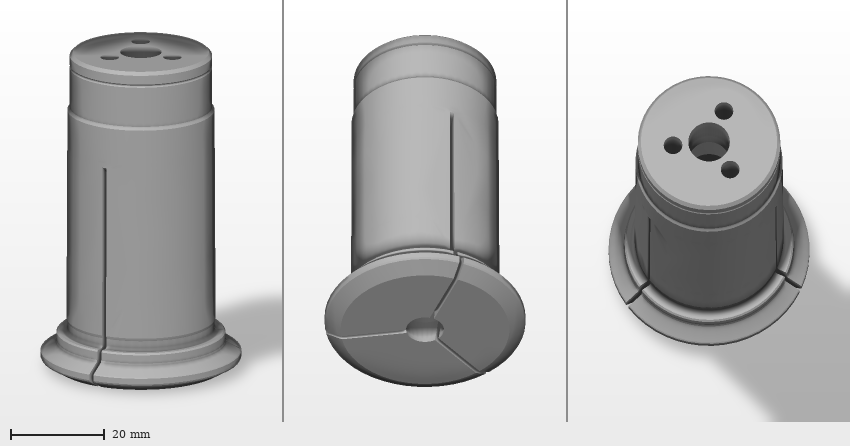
import cadquery as cq
import math

height = 70.0
flange_radius = 21.5
edge_break = 0.2
flange_cone_angle = 30

base_radius = 18.05
flange_rim_bottom = 2.25
flange_rim_top = 3.5
collar_radius = 18.05
collar_bottom = 5.9
collar_top = 8.05
collar_chamfer = 0.35

neck_radius = 15.75
neck_top = 10.15
undercut_fillet = 0.7
undercut_floor_angle = 8
undercut_outer_radius = 16.9

body_bottom = 10.8
body_top = 57.2
body_bottom_radius = 15.95
body_top_radius = 15.75

spigot_radius = 15.25
spigot_bottom = 57.9
top_chamfer = 0.7
groove_top = 67.35
groove_bottom = 66.65
groove_depth = 0.3

mouth_radius = 8.1 / 2
mouth_height = 6.45
clamping_bore_radius = 10.5 / 2
chamber_step_radius = 15.5 / 2
chamber_radius = 21.0 / 2
end_hole_radius = 8.9 / 2
chamber_step_height = 0.7
chamber_cone_angle = 31

slot_count = 3
slot_width = 1.0
slot_top = 48.2
slot_inner_top = 39.2
slot_overrun = 0.7

hole_count = 3
hole_diameter = 4.0
hole_circle_radius = chamber_step_radius
first_hole_angle = 30


def make_outer_body():
    cone_slope = math.tan(math.radians(flange_cone_angle))
    rim_inner = flange_radius - edge_break
    lower_cone_top = (rim_inner - base_radius) * cone_slope
    upper_cone_bottom = flange_rim_top + edge_break
    upper_cone_radius = collar_radius + edge_break
    upper_cone_top = upper_cone_bottom + (rim_inner - upper_cone_radius) * cone_slope
    floor_angle = math.radians(undercut_floor_angle)
    fillet_end_radius = neck_radius + undercut_fillet * (1 + math.sin(floor_angle))
    fillet_end_height = collar_top - (undercut_outer_radius - fillet_end_radius) * math.tan(floor_angle)
    fillet_top = fillet_end_height + undercut_fillet * math.cos(floor_angle)
    fillet_diagonal = undercut_fillet * math.sqrt(0.5)
    groove_radius = spigot_radius - groove_depth
    profile = (
        cq.Workplane("XZ")
        .lineTo(base_radius, 0)
        .lineTo(rim_inner, lower_cone_top)
        .lineTo(flange_radius, flange_rim_bottom)
        .lineTo(flange_radius, flange_rim_top)
        .lineTo(rim_inner, upper_cone_bottom)
        .lineTo(upper_cone_radius, upper_cone_top)
        .lineTo(collar_radius, collar_bottom)
        .lineTo(collar_radius, collar_top - collar_chamfer)
        .lineTo(collar_radius - collar_chamfer, collar_top)
        .lineTo(undercut_outer_radius, collar_top)
        .lineTo(fillet_end_radius, fillet_end_height)
        .threePointArc(
            (neck_radius + undercut_fillet - fillet_diagonal, fillet_top - fillet_diagonal),
            (neck_radius, fillet_top),
        )
        .lineTo(neck_radius, neck_top)
        .lineTo(body_bottom_radius, body_bottom)
        .lineTo(body_top_radius, body_top)
        .lineTo(spigot_radius, spigot_bottom)
        .lineTo(spigot_radius, groove_bottom)
        .lineTo(groove_radius, groove_bottom + groove_depth)
        .lineTo(groove_radius, groove_top - groove_depth)
        .lineTo(spigot_radius, groove_top)
        .lineTo(spigot_radius, height - top_chamfer)
        .lineTo(spigot_radius - top_chamfer, height)
        .lineTo(0, height)
        .close()
    )
    return profile.revolve(360, (0, 0), (0, 1))


def make_inner_cavity():
    """Bore through the part, with a chamber above the slots that widens in two conical steps."""
    cone_slope = math.tan(math.radians(chamber_cone_angle))
    lower_step_bottom = slot_top
    lower_step_top = lower_step_bottom + (chamber_step_radius - clamping_bore_radius) * cone_slope
    upper_step_bottom = lower_step_top + chamber_step_height
    upper_step_top = upper_step_bottom + (chamber_radius - chamber_step_radius) * cone_slope
    profile = cq.Workplane("XZ").polyline([
        (0, 0),
        (mouth_radius, 0),
        (clamping_bore_radius, mouth_height),
        (clamping_bore_radius, lower_step_bottom),
        (chamber_step_radius, lower_step_top),
        (chamber_step_radius, upper_step_bottom),
        (chamber_radius, upper_step_top),
        (chamber_radius, spigot_bottom),
        (end_hole_radius, spigot_bottom),
        (end_hole_radius, height),
        (0, height),
    ]).close()
    return profile.revolve(360, (0, 0), (0, 1))


def make_slot(angle):
    """One radial slot, open at the bottom, running from the axis out past the flange."""
    end_slope = (slot_top - slot_inner_top) / (body_top_radius - clamping_bore_radius)
    outer_reach = flange_radius + slot_overrun
    top_at_axis = slot_inner_top - clamping_bore_radius * end_slope
    top_at_reach = top_at_axis + outer_reach * end_slope
    slot = cq.Workplane("XZ").polyline([
        (0, 0),
        (outer_reach, 0),
        (outer_reach, top_at_reach),
        (0, top_at_axis),
    ]).close().extrude(slot_width / 2, both=True)
    return slot.rotate((0, 0, 0), (0, 0, 1), angle)


def make_holes():
    """Axial holes from the chamber roof up through the top face."""
    return (
        cq.Workplane("XY", origin=(0, 0, spigot_bottom))
        .polarArray(hole_circle_radius, first_hole_angle, 360, hole_count)
        .circle(hole_diameter / 2)
        .extrude(height - spigot_bottom)
    )


result = make_outer_body().cut(make_inner_cavity()).cut(make_holes())
for slot_index in range(slot_count):
    result = result.cut(make_slot(180 + slot_index * 360 / slot_count))